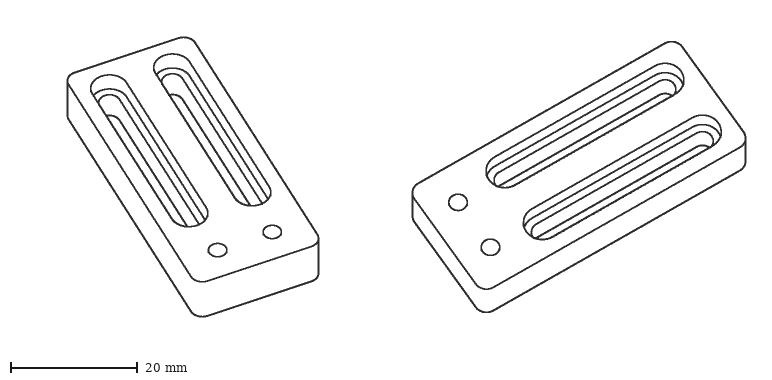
import cadquery as cq

length = 50.25
width = 22.0
thickness = 8.0
corner_radius = 2.0

slot_center_x = -4.6
slot_spacing = 10.95
slot_width = 3.4
slot_length = 33.45
ledge_width = 1.25
recess_depth = 3.2
recess_width = slot_width + 2 * ledge_width
recess_length = slot_length + 2 * ledge_width

hole_diameter = 2.9
hole_x = 19.65
hole_spacing = 9.5


def make_plate():
    plate = cq.Workplane("XY").rect(length, width).extrude(thickness)
    return plate.edges("|Z").fillet(corner_radius)


def cut_stepped_slot(body, center_y):
    """Cut a through slot with a wider recess sunk from the top face."""
    through_slot = (
        cq.Workplane("XY")
        .center(slot_center_x, center_y)
        .slot2D(slot_length, slot_width)
        .extrude(thickness)
    )
    recess = (
        cq.Workplane("XY", origin=(0, 0, thickness - recess_depth))
        .center(slot_center_x, center_y)
        .slot2D(recess_length, recess_width)
        .extrude(recess_depth)
    )
    return body.cut(through_slot).cut(recess)


def cut_hole(body, center_y):
    hole = (
        cq.Workplane("XY")
        .center(hole_x, center_y)
        .circle(hole_diameter / 2)
        .extrude(thickness)
    )
    return body.cut(hole)


result = make_plate()
for side in (-1, 1):
    result = cut_stepped_slot(result, side * slot_spacing / 2)
    result = cut_hole(result, side * hole_spacing / 2)